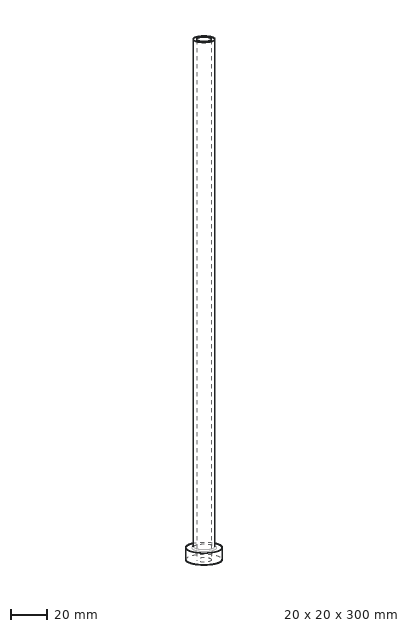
import cadquery as cq

total_length = 300.0
head_diameter = 20.0
head_height = 7.0
shaft_diameter = 12.0
bore_diameter = 8.0
root_fillet_radius = 0.8

head_radius = head_diameter / 2
shaft_radius = shaft_diameter / 2
root_fillet_top = head_height + root_fillet_radius

profile = (
    cq.Workplane("XZ")
    .lineTo(head_radius, 0)
    .lineTo(head_radius, head_height)
    .lineTo(shaft_radius + root_fillet_radius, head_height)
    .radiusArc((shaft_radius, root_fillet_top), root_fillet_radius)
    .lineTo(shaft_radius, total_length)
    .lineTo(0, total_length)
    .close()
)
body = profile.revolve(360, (0, 0, 0), (0, 1, 0))

bore = cq.Workplane("XY").circle(bore_diameter / 2).extrude(total_length)
result = body.cut(bore)